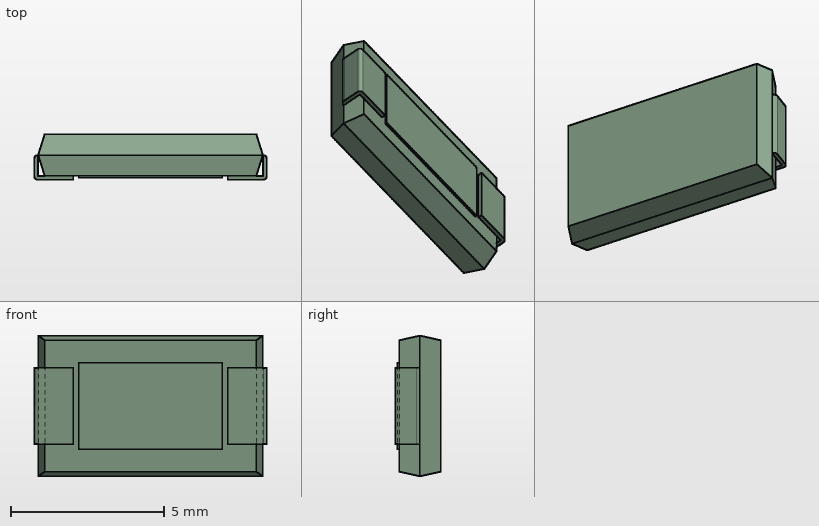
import cadquery as cq

total_length = 7.6
total_depth = 1.5
body_height = 4.6

strip_thickness = 0.13
bend_radius = 0.12
terminal_width = 2.49
foot_length = 1.285

body_length = total_length - 2 * strip_thickness
body_depth = total_depth - strip_thickness
back_depth = 0.685
end_inset = 0.21
side_inset = 0.15

pad_length = 4.7
pad_height = 2.83
pad_thickness = 0.06

back_y = back_depth
body_front_y = back_depth - body_depth
terminal_front_y = back_depth - total_depth


def make_body_half(face_y):
    """Frustum from the full outline at the parting plane to the smaller outer face."""
    return (
        cq.Workplane("XZ")
        .rect(body_length, body_height)
        .workplane(offset=-face_y)
        .rect(body_length - 2 * end_inset, body_height - 2 * side_inset)
        .loft(ruled=True)
    )


def make_body():
    return make_body_half(back_y).union(make_body_half(body_front_y))


def make_pad():
    return (
        cq.Workplane("XZ", origin=(0, body_front_y, 0))
        .rect(pad_length, pad_height)
        .extrude(pad_thickness)
    )


def make_terminal(side):
    """L-shaped strip at the -X (side = -1) or +X (side = 1) end."""
    outer_x = side * total_length / 2
    inner_x = side * body_length / 2
    foot_end_x = side * (total_length / 2 - foot_length)
    foot_inner_y = terminal_front_y + strip_thickness
    strip = (
        cq.Workplane("XY")
        .moveTo(inner_x, 0)
        .lineTo(outer_x, 0)
        .lineTo(outer_x, terminal_front_y)
        .lineTo(foot_end_x, terminal_front_y)
        .lineTo(foot_end_x, foot_inner_y)
        .lineTo(inner_x, foot_inner_y)
        .close()
        .extrude(terminal_width / 2, both=True)
    )
    outer_face = ">X" if side > 0 else "<X"
    return strip.faces(outer_face).edges("|Z").fillet(bend_radius)


body = make_body()
pad = make_pad()
terminals = [make_terminal(side) for side in (-1, 1)]

result = cq.Compound.makeCompound(
    [body.val(), pad.val(), *[terminal.val() for terminal in terminals]]
)